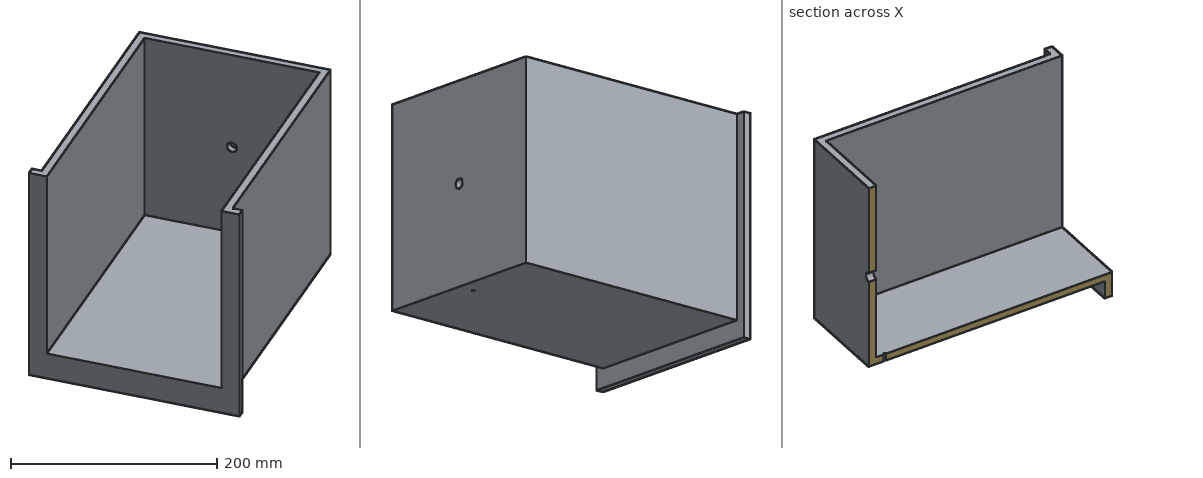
import cadquery as cq

wall = 8.5
inner_width = 181.0
body_height = 211.0
length = 280.0

flange_thickness = wall
flange_width = 218.0
flange_drop = 20.0

back_hole_diameter = 10.0
back_hole_height = body_height / 2
floor_hole_diameter = 2.5
floor_hole_inset = 10.0

body_width = inner_width + 2 * wall
inner_back = length - wall


def block(width, y_start, y_end, z_start, z_end):
    """Box centred on X between the given Y and Z limits."""
    return (
        cq.Workplane("XY")
        .box(width, y_end - y_start, z_end - z_start, centered=(True, False, False))
        .translate((0, y_start, z_start))
    )


def drawer_shell():
    """Body and flange with the inner space removed."""
    body = block(body_width, 0, length, 0, body_height)
    flange = block(flange_width, 0, flange_thickness, -flange_drop, body_height)
    inner_space = block(inner_width, 0, inner_back, wall, body_height)
    return body.union(flange).cut(inner_space)


def back_hole():
    """Cutter through the back wall, along Y."""
    return (
        cq.Workplane("XZ", origin=(0, length, back_hole_height))
        .circle(back_hole_diameter / 2)
        .extrude(wall)
    )


def floor_hole():
    """Cutter through the floor, along Z, near the back wall."""
    return (
        cq.Workplane("XY", origin=(0, inner_back - floor_hole_inset, 0))
        .circle(floor_hole_diameter / 2)
        .extrude(wall)
    )


result = drawer_shell().cut(back_hole()).cut(floor_hole())